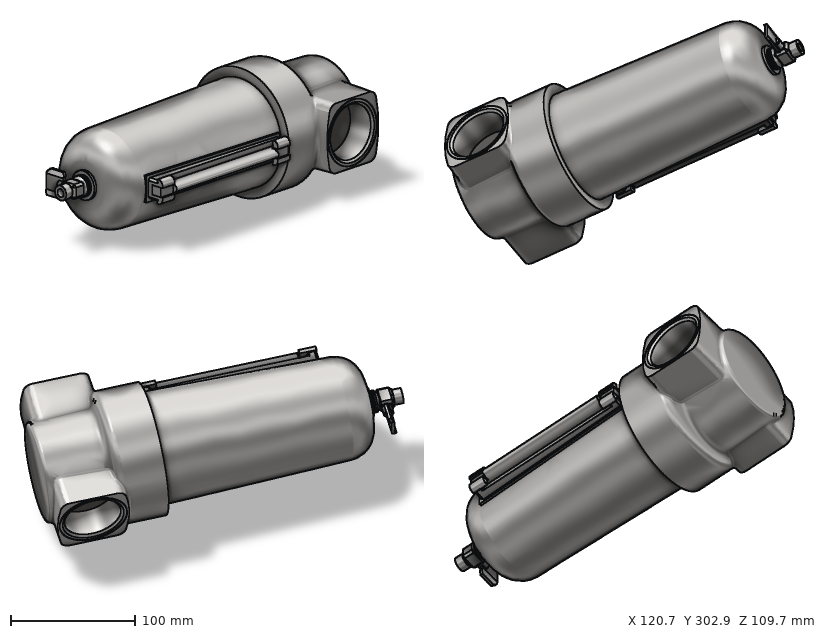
import cadquery as cq
import math


FLANGE_RADIUS = 54.864
FLANGE_HEIGHT = 34.0
CAP_HEIGHT = 95.4
CAP_RADIUS_LOW = 43.1
CAP_RADIUS_HIGH = 41.5
CAP_EDGE_FILLET = 3.175
SHOULDER_TOP = 46.6
SHOULDER_MIDDLE = (FLANGE_HEIGHT + SHOULDER_TOP) / 2
HEAD_BLEND = 3.175
EDGE_MARGIN = 0.05

PORT_LEFT_X = -55.12
PORT_RIGHT_X = 65.53
PORT_CENTER_Y = 62.55
PORT_HALF_HEIGHT = 29.7
PORT_CORNER_Y = 25.4
PORT_HALF_WIDTH = 29.8
PORT_CORNER_FILLET = 8.0
PORT_DRAFT = 1.3
BORE_RADIUS = 23.4
BORE_DEPTH = 25.4
BORE_CHAMFER_RADIUS = 25.4
BORE_CHAMFER_DEPTH = 2.0
SPOT_FACE_RADIUS = 28.0
SPOT_FACE_DEPTH = 0.6

BOWL_TOP_RADIUS = 46.2
BOWL_CONE_BOTTOM_RADIUS = 42.4
BOWL_CONE_LENGTH = 156.8
BOWL_LENGTH = 178.9
BOWL_FILLET = 22.86
BOWL_SLOPE = (BOWL_TOP_RADIUS - BOWL_CONE_BOTTOM_RADIUS) / BOWL_CONE_LENGTH

PAD_TOP_Y = -2.5
PAD_BOTTOM_Y = -153.0
PAD_HALF_WIDTH = 11.4
PAD_RISE = 0.5
PAD_ROOT_X = 35.0

FRAME_TOP_Y = -3.3
FRAME_BOTTOM_Y = -150.6
FRAME_FACE_X = 53.3
FRAME_HALF_WIDTH = 8.9
FRAME_END_CHAMFER = 2.0
CHANNEL_HALF_WIDTH = 4.1
CHANNEL_FLOOR_X = 47.3
WINDOW_FLOOR_X = 50.3
WINDOW_RAMP = 3.1
WINDOW_TOP_Y = -10.8
WINDOW_BOTTOM_Y = -144.2
CLAMP_FACE_X = 59.0
CLAMP_LENGTH = 14.0
CLAMP_LOW_ENDS = (FRAME_BOTTOM_Y, FRAME_TOP_Y - CLAMP_LENGTH)
CLAMP_HALF_WIDTH = 10.4
CLAMP_FILLET = 4.5

GLASS_TOP_Y = -18.2
GLASS_BOTTOM_Y = -135.9
GLASS_FACE_X = 60.9
GLASS_END_X = 57.2

DRAIN_FLANGE_RADIUS = 12.4
DRAIN_FLANGE_END = -181.3
COLLAR_RADIUS = 9.0
COLLAR_END = -185.4
NECK_LENGTH = 2.8
COLLAR_GROOVE_RADIUS = 8.6
COLLAR_GROOVE_TOP = -182.7
COLLAR_GROOVE_BOTTOM = -183.9
VALVE_HALF_X = 7.9
VALVE_HALF_Z = 6.35
VALVE_START = -186.6
VALVE_END = -200.0
VALVE_CHAMFER = 2.2
OUTLET_RADIUS = 6.32
OUTLET_END = -207.49
OUTLET_BORE_RADIUS = 3.4
OUTLET_BORE_DEPTH = 8.0
SEAT_BORE_RADIUS = 1.7
SEAT_BORE_DEPTH = 14.0

STEM_CENTER_Y = -192.9
STEM_RADIUS = 4.1
STEM_CHAMFER = 0.6
STEM_END_X = -15.0
LEVER_TIP_X = -29.0
LEVER_ROOT_X = -10.0
LEVER_THICKNESS = 2.4
LEVER_HALF_WIDTH = 10.7
LEVER_FLAT_HALF_WIDTH = 6.7
LEVER_WING_OFFSET = 2.2
LEVER_CORNER_CHAMFER = 2.5


def revolve_about_y(profile):
    """Full turn of an XY-plane profile about the Y axis."""
    return profile.close().revolve(360, (0, 0), (0, 1))


def box_between(x_range, y_range, z_range):
    """Box given by its (low, high) limits along each axis."""
    sizes = [high - low for low, high in (x_range, y_range, z_range)]
    return cq.Workplane().box(*sizes, centered=False).translate((x_range[0], y_range[0], z_range[0]))


def cylinder_along_y(radius, start, end):
    return cq.Workplane("XZ", origin=(0, start, 0)).circle(radius).extrude(start - end)


def make_head_body():
    middle = ((FLANGE_RADIUS + CAP_RADIUS_LOW) / 2, SHOULDER_MIDDLE)
    profile = (
        cq.Workplane("XY")
        .lineTo(-FLANGE_RADIUS, 0)
        .lineTo(-FLANGE_RADIUS, FLANGE_HEIGHT)
        .tangentArcPoint((-middle[0], middle[1]), relative=False)
        .tangentArcPoint((-CAP_RADIUS_LOW, SHOULDER_TOP), relative=False)
        .lineTo(-CAP_RADIUS_HIGH, CAP_HEIGHT)
        .lineTo(0, CAP_HEIGHT)
    )
    return revolve_about_y(profile).faces(">Y").edges().fillet(CAP_EDGE_FILLET)


def make_port_section(x, growth):
    """Bulged rectangle with rounded corners at the given X, enlarged all round by growth."""
    side_y = PORT_HALF_HEIGHT + growth
    corner_y = PORT_CORNER_Y + growth
    half_width = PORT_HALF_WIDTH + growth
    outline = (
        cq.Workplane("YZ", origin=(x, PORT_CENTER_Y, 0))
        .moveTo(-corner_y, -half_width)
        .lineTo(corner_y, -half_width)
        .threePointArc((side_y, 0), (corner_y, half_width))
        .lineTo(-corner_y, half_width)
        .threePointArc((-side_y, 0), (-corner_y, -half_width))
        .close()
    )
    face = cq.Face.makeFromWires(outline.val())
    return face.fillet2D(PORT_CORNER_FILLET, face.Vertices()).outerWire()


def make_port_block(face_x):
    """Block with bulged sides that widens from its face towards the vessel axis."""
    growth = abs(face_x) * math.tan(math.radians(PORT_DRAFT))
    sections = [make_port_section(face_x, 0), make_port_section(0, growth)]
    return cq.Workplane(cq.Solid.makeLoft(sections, True))


def make_port_bore(face_x):
    """Blind bore with a chamfered mouth in a shallow spot face, cut inwards from the port face."""
    inward = -math.copysign(1, face_x)
    chamfer_end = SPOT_FACE_DEPTH + BORE_CHAMFER_DEPTH
    return (
        cq.Workplane("XY", origin=(face_x, PORT_CENTER_Y, 0))
        .lineTo(0, SPOT_FACE_RADIUS)
        .lineTo(inward * SPOT_FACE_DEPTH, SPOT_FACE_RADIUS)
        .lineTo(inward * SPOT_FACE_DEPTH, BORE_CHAMFER_RADIUS)
        .lineTo(inward * chamfer_end, BORE_RADIUS)
        .lineTo(inward * BORE_DEPTH, BORE_RADIUS)
        .lineTo(inward * BORE_DEPTH, 0)
        .close()
        .revolve(360, (0, 0), (1, 0))
    )


def is_port_joint(edge):
    """True for the edges where a port block runs into the round head body."""
    box = edge.BoundingBox()
    clear_of_faces = PORT_LEFT_X + EDGE_MARGIN < box.xmin and box.xmax < PORT_RIGHT_X - EDGE_MARGIN
    return edge.geomType() == "BSPLINE" and clear_of_faces


def make_head():
    head = make_head_body()
    for face_x in (PORT_LEFT_X, PORT_RIGHT_X):
        head = head.union(make_port_block(face_x))
    joints = [edge for edge in head.edges().vals() if is_port_joint(edge)]
    head = head.newObject(joints).fillet(HEAD_BLEND)
    for face_x in (PORT_LEFT_X, PORT_RIGHT_X):
        head = head.cut(make_port_bore(face_x))
    return head


def make_bowl():
    end_radius = BOWL_TOP_RADIUS - BOWL_SLOPE * BOWL_LENGTH
    bowl = (
        cq.Workplane("YZ")
        .lineTo(0, BOWL_TOP_RADIUS)
        .lineTo(-BOWL_LENGTH, end_radius)
        .lineTo(-BOWL_LENGTH, 0)
        .close()
        .revolve(360, (0, 0), (1, 0))
        .faces("<Y").edges().fillet(BOWL_FILLET)
    )
    return bowl.union(make_pad())


def pad_face_x(y):
    return BOWL_TOP_RADIUS + PAD_RISE + BOWL_SLOPE * y


def make_pad():
    """Flat pad that follows the taper of the bowl."""
    return (
        cq.Workplane("XY", origin=(0, 0, -PAD_HALF_WIDTH))
        .moveTo(PAD_ROOT_X, PAD_TOP_Y)
        .lineTo(pad_face_x(PAD_TOP_Y), PAD_TOP_Y)
        .lineTo(pad_face_x(PAD_BOTTOM_Y), PAD_BOTTOM_Y)
        .lineTo(PAD_ROOT_X, PAD_BOTTOM_Y)
        .close()
        .extrude(2 * PAD_HALF_WIDTH)
    )


def make_frame_window():
    """Side windows in one cut; their ends slope inwards from the frame sides to the channel."""
    top_inner = WINDOW_TOP_Y - WINDOW_RAMP
    bottom_inner = WINDOW_BOTTOM_Y + WINDOW_RAMP
    return (
        cq.Workplane("YZ", origin=(WINDOW_FLOOR_X, 0, 0))
        .moveTo(WINDOW_TOP_Y, FRAME_HALF_WIDTH)
        .lineTo(top_inner, CHANNEL_HALF_WIDTH)
        .lineTo(top_inner, -CHANNEL_HALF_WIDTH)
        .lineTo(WINDOW_TOP_Y, -FRAME_HALF_WIDTH)
        .lineTo(WINDOW_BOTTOM_Y, -FRAME_HALF_WIDTH)
        .lineTo(bottom_inner, -CHANNEL_HALF_WIDTH)
        .lineTo(bottom_inner, CHANNEL_HALF_WIDTH)
        .lineTo(WINDOW_BOTTOM_Y, FRAME_HALF_WIDTH)
        .close()
        .extrude(FRAME_FACE_X - WINDOW_FLOOR_X)
    )


def make_gauge_frame(bowl):
    lengthwise = (FRAME_BOTTOM_Y, FRAME_TOP_Y)
    across = (-FRAME_HALF_WIDTH, FRAME_HALF_WIDTH)
    frame = box_between((PAD_ROOT_X, FRAME_FACE_X), lengthwise, across)
    frame = frame.edges("|X").chamfer(FRAME_END_CHAMFER)
    frame = frame.cut(make_frame_window())
    clamp_across = (-CLAMP_HALF_WIDTH, CLAMP_HALF_WIDTH)
    for low_y in CLAMP_LOW_ENDS:
        clamp = box_between((FRAME_FACE_X, CLAMP_FACE_X), (low_y, low_y + CLAMP_LENGTH), clamp_across)
        frame = frame.union(clamp.faces(">X").edges("|Y").fillet(CLAMP_FILLET))
    channel = box_between(
        (CHANNEL_FLOOR_X, CLAMP_FACE_X), lengthwise, (-CHANNEL_HALF_WIDTH, CHANNEL_HALF_WIDTH)
    )
    return frame.cut(channel).cut(bowl)


def make_gauge_glass():
    """Strip filling the frame channel, with end blocks in the clamps and a half-elliptic bar in front."""
    across = (-CHANNEL_HALF_WIDTH, CHANNEL_HALF_WIDTH)
    glass = box_between((CHANNEL_FLOOR_X, FRAME_FACE_X), (FRAME_BOTTOM_Y, FRAME_TOP_Y), across)
    for low_y in CLAMP_LOW_ENDS:
        glass = glass.union(
            box_between((CHANNEL_FLOOR_X, GLASS_END_X), (low_y, low_y + CLAMP_LENGTH), across)
        )
    bar = (
        cq.Workplane("XZ", origin=(FRAME_FACE_X, GLASS_TOP_Y, 0))
        .ellipse(GLASS_FACE_X - FRAME_FACE_X, CHANNEL_HALF_WIDTH)
        .extrude(GLASS_TOP_Y - GLASS_BOTTOM_Y)
    )
    lengthwise = (GLASS_BOTTOM_Y, GLASS_TOP_Y)
    bar_front = bar.intersect(box_between((FRAME_FACE_X, GLASS_FACE_X), lengthwise, across))
    return glass.union(bar_front)


def make_drain_flange():
    return cylinder_along_y(DRAIN_FLANGE_RADIUS, -BOWL_LENGTH, DRAIN_FLANGE_END)


def make_valve_body():
    collar = cylinder_along_y(COLLAR_RADIUS, DRAIN_FLANGE_END, COLLAR_END)
    groove_ring = cylinder_along_y(COLLAR_RADIUS, COLLAR_GROOVE_TOP, COLLAR_GROOVE_BOTTOM)
    groove_core = cylinder_along_y(COLLAR_GROOVE_RADIUS, COLLAR_GROOVE_TOP, COLLAR_GROOVE_BOTTOM)
    block = box_between(
        (-VALVE_HALF_X, VALVE_HALF_X), (VALVE_END, VALVE_START), (-VALVE_HALF_Z, VALVE_HALF_Z)
    )
    neck = revolve_about_y(
        cq.Workplane("XY", origin=(0, COLLAR_END, 0))
        .lineTo(COLLAR_RADIUS, 0)
        .lineTo(VALVE_HALF_Z, -NECK_LENGTH)
        .lineTo(0, -NECK_LENGTH)
    )
    body = collar.cut(groove_ring.cut(groove_core)).union(neck)
    body = body.union(block.edges().chamfer(VALVE_CHAMFER))
    body = body.union(cylinder_along_y(OUTLET_RADIUS, VALVE_END, OUTLET_END))
    body = body.cut(cylinder_along_y(OUTLET_BORE_RADIUS, OUTLET_END + OUTLET_BORE_DEPTH, OUTLET_END))
    return body.cut(cylinder_along_y(SEAT_BORE_RADIUS, OUTLET_END + SEAT_BORE_DEPTH, OUTLET_END))


def make_stem():
    return (
        cq.Workplane("YZ", origin=(-VALVE_HALF_X, STEM_CENTER_Y, 0))
        .circle(STEM_RADIUS)
        .extrude(STEM_END_X + VALVE_HALF_X)
        .faces("<X")
        .chamfer(STEM_CHAMFER)
    )


def make_lever(stem):
    """Flat handle with one wing bent up and the other bent down."""
    half = LEVER_THICKNESS / 2
    center_line = [
        (-LEVER_WING_OFFSET, -LEVER_HALF_WIDTH),
        (0, -LEVER_FLAT_HALF_WIDTH),
        (0, LEVER_FLAT_HALF_WIDTH),
        (LEVER_WING_OFFSET, LEVER_HALF_WIDTH),
    ]
    front = [(y + half, z) for y, z in center_line]
    back = [(y - half, z) for y, z in reversed(center_line)]
    lever = (
        cq.Workplane("YZ", origin=(LEVER_TIP_X, STEM_CENTER_Y, 0))
        .polyline(front + back)
        .close()
        .extrude(LEVER_ROOT_X - LEVER_TIP_X)
    )
    return lever.faces("<Z or >Z").edges("|Y").chamfer(LEVER_CORNER_CHAMFER).cut(stem)


head = make_head()
bowl = make_bowl()
gauge_frame = make_gauge_frame(bowl)
gauge_glass = make_gauge_glass()
drain_flange = make_drain_flange()
valve_body = make_valve_body()
stem = make_stem()
lever = make_lever(stem)

result = cq.Compound.makeCompound(
    [
        head.solids().val(),
        bowl.solids().val(),
        gauge_frame.solids().val(),
        gauge_glass.solids().val(),
        drain_flange.solids().val(),
        valve_body.solids().val(),
        stem.solids().val(),
        lever.solids().val(),
    ]
)